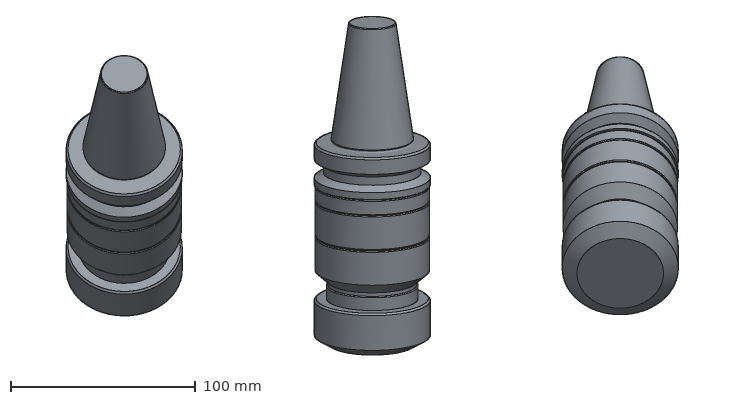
import cadquery as cq

total_height = 180.4

nut_radius = 31.48
nut_face_radius = 23.5
nut_face_chamfer_height = 4.9
nut_top_z = 25.5
nut_top_chamfer = 1.0

neck_radius = 24.9
neck_top_z = 32.7
neck_chamfer_height = 0.5
neck_relief_radius = 24.2
body_cone_bottom_z = 35.2

body_radius = 31.0
body_bottom_z = 41.3
body_top_z = 89.0
body_top_chamfer = 0.5
deep_ring_z = 60.6
deep_ring_width = 0.5
deep_ring_radius = 29.2
shallow_ring_z = 80.3
shallow_ring_width = 0.2
shallow_ring_radius = 30.3
ring_edge_chamfer = 0.5

flange_radius = 31.48
flange_bottom_z = 89.5
grip_bottom_z = 93.5
grip_top_z = 103.7
grip_radius = 26.5
grip_slope_height = 2.8
flange_top_z = 113.0
flange_top_chamfer = 1.0

taper_bottom_z = 115.0
taper_large_radius = 22.4
taper_relief_radius = 21.5
taper_relief_slope_height = 0.7
taper_slope = 7 / 48
taper_end_chamfer = 0.5
taper_root_fillet = 0.7


def nut_profile():
    return [
        (0, 0),
        (nut_face_radius, 0),
        (nut_radius, nut_face_chamfer_height),
        (nut_radius, nut_top_z - nut_top_chamfer),
        (nut_radius - nut_top_chamfer, nut_top_z),
    ]


def neck_profile():
    return [
        (neck_radius, nut_top_z),
        (neck_radius, neck_top_z),
        (neck_relief_radius, neck_top_z + neck_chamfer_height),
        (neck_relief_radius, body_cone_bottom_z),
    ]


def ring_profile(center_z, width, floor_radius):
    """Ring groove with chamfered edges, listed from bottom to top."""
    low = center_z - width / 2
    high = center_z + width / 2
    return [
        (body_radius, low - ring_edge_chamfer),
        (body_radius - ring_edge_chamfer, low),
        (floor_radius, low),
        (floor_radius, high),
        (body_radius - ring_edge_chamfer, high),
        (body_radius, high + ring_edge_chamfer),
    ]


def body_profile():
    return [
        (body_radius, body_bottom_z),
        *ring_profile(deep_ring_z, deep_ring_width, deep_ring_radius),
        *ring_profile(shallow_ring_z, shallow_ring_width, shallow_ring_radius),
        (body_radius, body_top_z - body_top_chamfer),
        (body_radius - body_top_chamfer, body_top_z),
        (body_radius - body_top_chamfer, flange_bottom_z),
    ]


def flange_profile():
    return [
        (flange_radius, flange_bottom_z),
        (flange_radius, grip_bottom_z),
        (grip_radius, grip_bottom_z + grip_slope_height),
        (grip_radius, grip_top_z - grip_slope_height),
        (flange_radius, grip_top_z),
        (flange_radius, flange_top_z - flange_top_chamfer),
        (flange_radius - flange_top_chamfer, flange_top_z),
    ]


def taper_profile():
    """Taper and relief, starting where the root fillet ends."""
    chamfer_z = total_height - taper_end_chamfer
    end_radius = taper_large_radius - (chamfer_z - taper_bottom_z) * taper_slope
    return [
        (taper_relief_radius, taper_bottom_z - taper_relief_slope_height),
        (taper_large_radius, taper_bottom_z),
        (end_radius, chamfer_z),
        (end_radius - taper_end_chamfer, total_height),
        (0, total_height),
    ]


lower_profile = nut_profile() + neck_profile() + body_profile() + flange_profile()
root_fillet_start = (taper_relief_radius + taper_root_fillet, flange_top_z)
root_fillet_end = (taper_relief_radius, flange_top_z + taper_root_fillet)

profile = (
    cq.Workplane("XZ")
    .polyline(lower_profile + [root_fillet_start])
    .radiusArc(root_fillet_end, taper_root_fillet)
    .polyline(taper_profile(), includeCurrent=True)
    .close()
)

result = profile.revolve(360, (0, 0, 0), (0, 1, 0))